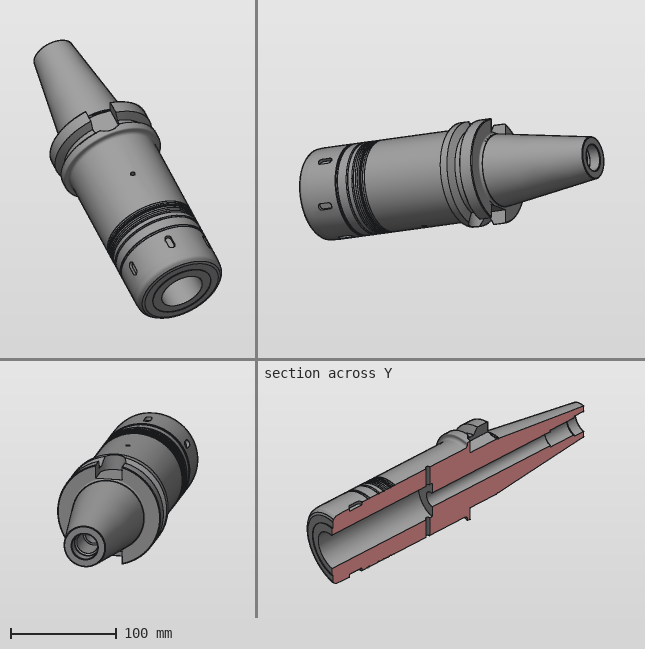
import cadquery as cq
import math


cutter_clearance = 1.0

taper_length = 101.8
gauge_radius = 69.85 / 2
taper_ratio = 7 / 24
neck_radius = 68.9 / 2
neck_fillet = 1.7
taper_end_chamfer = 0.6

flange_start = 3.0
flange_end = 38.0
rim_radius = 100 / 2
front_rim_chamfer = 0.8
rear_rim_fillet = 1.5
groove_floor_radius = 85 / 2
groove_floor_start = 20.2
groove_floor_end = 25.6
groove_wall_slope = math.tan(math.radians(30))
body_fillet = 3.0

keyway_width = 25.7
keyway_floor = 35.4
keyway_end = 34.2

body_radius = 88 / 2
total_end = 200.0
shallow_groove_radius = 87.6 / 2
shallow_groove_starts = (124.7, 132.7)
shallow_groove_width = 2.0
flared_groove_start = 128.4
flared_groove_mouth = 2.4
flared_groove_floor = 0.9
vee_groove_starts = (136.7, 142.9)
vee_groove_width = 1.9
flank_slope = 1.0
nut_gap_start = 154.7
nut_start = 156.4
nut_edge_chamfer = 0.6

nose_taper_start = 187.5
nose_round_start = 194.0
nose_round_radius = 43.5
nose_round_end = 196.5
nose_round_end_radius = 42.3
nose_arc_radius = 4.0
nose_bevel_end = 198.3
nose_face = 199.2
nose_face_radius = 38.0
nose_ring_radius = 30.0

slot_count = 6
slot_center = 171.6
slot_length = 14.5
slot_width = 6.3
slot_depth = 3.5

oil_hole_position = 85.0
oil_hole_diameter = 4.0

clamp_bore_radius = 42 / 2
clamp_bore_floor = 80.0
through_radius = 17.2 / 2
pilot_radius = 25 / 2
pilot_mouth_radius = 26.4 / 2
pilot_depth = 11.0
thread_mouth_radius = 24 / 2
thread_radius = 21 / 2
thread_depth = 40.0


def taper_radius(x):
    return gauge_radius + x * taper_ratio / 2


def revolve(outline):
    return outline.close().revolve(360, (0, 0, 0), (1, 0, 0))


def shallow_groove(axial_start):
    return (
        cq.Workplane("YZ", origin=(axial_start, 0, 0))
        .circle(body_radius + cutter_clearance)
        .circle(shallow_groove_radius)
        .extrude(shallow_groove_width)
    )


def sloped_groove(start, mouth_width, floor_width):
    flank = (mouth_width - floor_width) / 2
    floor_radius = body_radius - flank * flank_slope
    outline = (
        cq.Workplane("XY")
        .moveTo(start, body_radius)
        .lineTo(start + flank, floor_radius)
    )
    if floor_width > 0:
        outline = outline.lineTo(start + flank + floor_width, floor_radius)
    return revolve(outline.lineTo(start + mouth_width, body_radius))


def outer_body():
    groove_wall = (rim_radius - groove_floor_radius) * groove_wall_slope
    nut_gap_radius = body_radius - nut_edge_chamfer
    nose_bevel_radius = nose_round_end_radius - (nose_bevel_end - nose_round_end)
    return revolve(
        cq.Workplane("XY")
        .moveTo(-taper_length, 0)
        .lineTo(-taper_length, taper_radius(-taper_length) - taper_end_chamfer)
        .lineTo(-taper_length + taper_end_chamfer, taper_radius(-taper_length + taper_end_chamfer))
        .lineTo(0, gauge_radius)
        .lineTo(0, neck_radius)
        .lineTo(flange_start - neck_fillet, neck_radius)
        .radiusArc((flange_start, neck_radius + neck_fillet), -neck_fillet)
        .lineTo(flange_start, rim_radius - front_rim_chamfer)
        .lineTo(flange_start + front_rim_chamfer, rim_radius)
        .lineTo(groove_floor_start - groove_wall, rim_radius)
        .lineTo(groove_floor_start, groove_floor_radius)
        .lineTo(groove_floor_end, groove_floor_radius)
        .lineTo(groove_floor_end + groove_wall, rim_radius)
        .lineTo(flange_end - rear_rim_fillet, rim_radius)
        .radiusArc((flange_end, rim_radius - rear_rim_fillet), rear_rim_fillet)
        .lineTo(flange_end, body_radius + body_fillet)
        .radiusArc((flange_end + body_fillet, body_radius), -body_fillet)
        .lineTo(nut_gap_start, body_radius)
        .lineTo(nut_gap_start, nut_gap_radius)
        .lineTo(nut_start, nut_gap_radius)
        .lineTo(nut_start + nut_edge_chamfer, body_radius)
        .lineTo(nose_taper_start, body_radius)
        .lineTo(nose_round_start, nose_round_radius)
        .radiusArc((nose_round_end, nose_round_end_radius), nose_arc_radius)
        .lineTo(nose_bevel_end, nose_bevel_radius)
        .lineTo(nose_face, nose_face_radius)
        .lineTo(nose_face, nose_ring_radius)
        .lineTo(total_end, nose_ring_radius)
        .lineTo(total_end, 0)
    )


def bores():
    thread_mouth = -taper_length + pilot_depth
    thread_start = thread_mouth + thread_mouth_radius - thread_radius
    thread_end = -taper_length + thread_depth
    mouth_chamfer = pilot_mouth_radius - pilot_radius
    return revolve(
        cq.Workplane("XY")
        .moveTo(-taper_length, 0)
        .lineTo(-taper_length, pilot_mouth_radius)
        .lineTo(-taper_length + mouth_chamfer, pilot_radius)
        .lineTo(thread_mouth, pilot_radius)
        .lineTo(thread_mouth, thread_mouth_radius)
        .lineTo(thread_start, thread_radius)
        .lineTo(thread_end, thread_radius)
        .lineTo(thread_end, through_radius)
        .lineTo(clamp_bore_floor, through_radius)
        .lineTo(clamp_bore_floor, clamp_bore_radius)
        .lineTo(total_end, clamp_bore_radius)
        .lineTo(total_end, 0)
    )


def keyway():
    half_width = keyway_width / 2
    straight_end = keyway_end - half_width
    return (
        cq.Workplane("XY", origin=(0, 0, keyway_floor))
        .moveTo(0, -half_width)
        .lineTo(straight_end, -half_width)
        .threePointArc((keyway_end, 0), (straight_end, half_width))
        .lineTo(0, half_width)
        .close()
        .extrude(rim_radius - keyway_floor + cutter_clearance)
    )


def spanner_slot():
    return (
        cq.Workplane("XY", origin=(slot_center, 0, body_radius - slot_depth))
        .slot2D(slot_length, slot_width)
        .extrude(slot_depth + cutter_clearance)
    )


def oil_hole():
    return (
        cq.Workplane("XY", origin=(oil_hole_position, 0, -body_radius))
        .circle(oil_hole_diameter / 2)
        .extrude(2 * body_radius)
    )


def around_axis(shape, count):
    step = 360 / count
    return [shape.rotate((0, 0, 0), (1, 0, 0), i * step) for i in range(count)]


result = outer_body().cut(bores()).cut(oil_hole())

for key in around_axis(keyway(), 2):
    result = result.cut(key)

for groove_start in shallow_groove_starts:
    result = result.cut(shallow_groove(groove_start))

result = result.cut(sloped_groove(flared_groove_start, flared_groove_mouth, flared_groove_floor))
for groove_start in vee_groove_starts:
    result = result.cut(sloped_groove(groove_start, vee_groove_width, 0))

for slot in around_axis(spanner_slot(), slot_count):
    result = result.cut(slot)